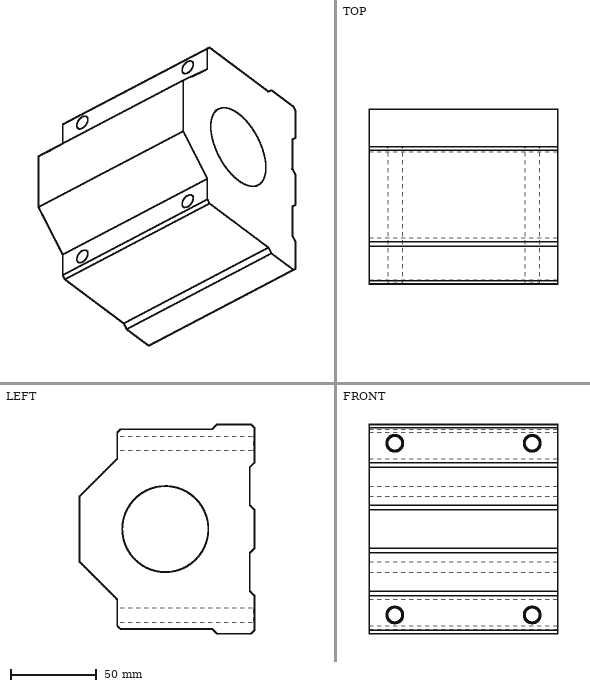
import cadquery as cq

length = 110.0
height = 122.0
depth = 102.0
bore_diameter = 50.0
back_y = 50.0
front_y = back_y - depth

flange_thickness = 22.0
step = 2.7
edge_chamfer = 2.0
shoulder_y = 28.0
hood_half_height = 19.0

groove_offset = 25.0
groove_width = 27.6
groove_depth = 2.7

hole_spacing_x = 80.0
hole_spacing_z = 100.0
hole_diameter = 8.4
mouth_diameter = 10.0
mouth_chamfer = (mouth_diameter - hole_diameter) / 2


def make_body():
    """Extrude the symmetric block outline along X."""
    flange_z = height / 2
    body_z = flange_z - step
    flange_back_y = front_y + flange_thickness
    hood_base_z = hood_half_height + back_y - shoulder_y
    upper_half = [
        (front_y, flange_z - edge_chamfer),
        (front_y + edge_chamfer, flange_z),
        (flange_back_y, flange_z),
        (flange_back_y + step, body_z),
        (shoulder_y - edge_chamfer, body_z),
        (shoulder_y, body_z - edge_chamfer),
        (shoulder_y, hood_base_z),
        (back_y, hood_half_height),
    ]
    lower_half = [(y, -z) for y, z in reversed(upper_half)]
    outline = cq.Workplane("YZ").polyline(upper_half + lower_half).close()
    return outline.extrude(length / 2, both=True)


def make_groove(center_z):
    """Shallow front groove with 45 degree flanks."""
    mouth = groove_width / 2
    floor = mouth - groove_depth
    floor_y = front_y + groove_depth
    points = [
        (front_y, center_z - mouth),
        (floor_y, center_z - floor),
        (floor_y, center_z + floor),
        (front_y, center_z + mouth),
    ]
    return cq.Workplane("YZ").polyline(points).close().extrude(length / 2, both=True)


def make_hole(x, z):
    """Through hole along Y with a chamfered mouth on the front face."""
    axis = cq.Vector(0, 1, 0)
    start = cq.Vector(x, front_y, z)
    shaft = cq.Solid.makeCylinder(hole_diameter / 2, depth, start, axis)
    mouth = cq.Solid.makeCone(mouth_diameter / 2, hole_diameter / 2, mouth_chamfer, start, axis)
    return cq.Workplane(shaft).union(cq.Workplane(mouth))


result = make_body()

bore = cq.Workplane("YZ").circle(bore_diameter / 2).extrude(length / 2, both=True)
result = result.cut(bore)

for side in (-1, 1):
    result = result.cut(make_groove(side * groove_offset))

for side_x in (-1, 1):
    for side_z in (-1, 1):
        result = result.cut(make_hole(side_x * hole_spacing_x / 2, side_z * hole_spacing_z / 2))